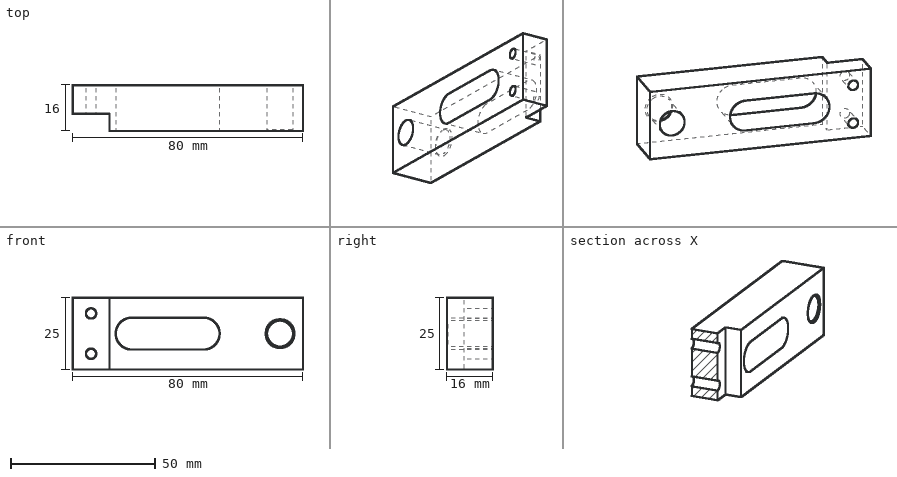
import cadquery as cq

length = 80.0
thickness = 16.0
height = 25.0
mid_height = height / 2

step_length = 12.8
step_depth = 6.0

small_hole_diameter = 3.5
small_hole_spacing = 14.0
small_hole_x = step_length / 2

slot_width = 11.0
slot_length = 36.0
slot_start_x = 15.0
slot_center_x = slot_start_x + slot_length / 2

large_hole_diameter = 9.0
large_hole_chamfer = 0.5
large_hole_x = length - 8.0


def front_plane(x, z):
    """Sketch plane on the front face, centred at (x, z), with its normal pointing to -Y."""
    return cq.Workplane("XZ", origin=(x, 0, z))


def stepped_block():
    block = cq.Workplane("XY").box(length, thickness, height, centered=False)
    step = cq.Workplane("XY").box(step_length, step_depth, height, centered=False)
    return block.cut(step)


def small_holes():
    holes = front_plane(small_hole_x, mid_height).rarray(1, small_hole_spacing, 1, 2)
    return holes.circle(small_hole_diameter / 2).extrude(-thickness)


def slot():
    return front_plane(slot_center_x, mid_height).slot2D(slot_length, slot_width).extrude(-thickness)


def large_hole():
    radius = large_hole_diameter / 2
    mouth_radius = radius + large_hole_chamfer
    bore = front_plane(large_hole_x, mid_height).circle(radius).extrude(-thickness)
    mouth = (
        front_plane(large_hole_x, mid_height)
        .circle(mouth_radius)
        .workplane(offset=-large_hole_chamfer)
        .circle(radius)
        .loft()
    )
    return bore.union(mouth)


result = stepped_block().cut(small_holes()).cut(slot()).cut(large_hole())